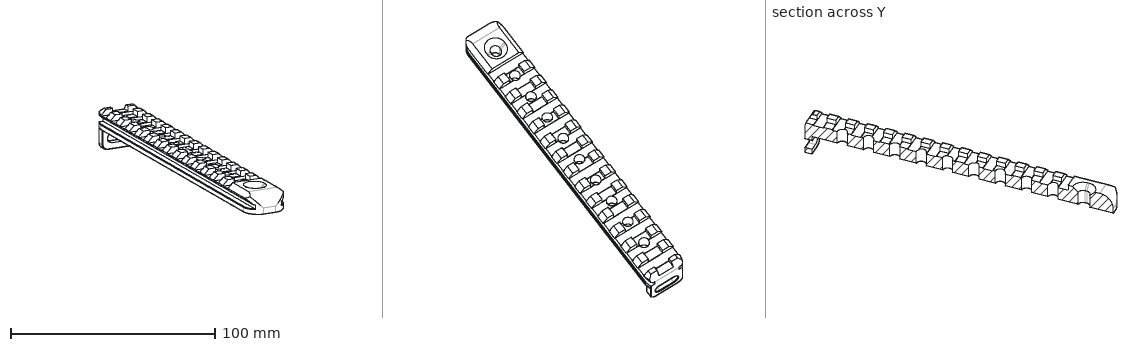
import cadquery as cq
import math

length = 164.0
width = 21.2
height = 21.05

rail_height = 10.3
base_thickness = 2.9
neck_width = 14.4
dovetail_height = 5.35
neck_top = rail_height - dovetail_height
top_width = 15.9
dovetail_slope = (width - top_width) / 2
base_edge_chamfer = 0.35

slot_count = 14
slot_pitch = 10.01
slot_width = 5.23
slot_depth = 3.0
first_slot_start = 4.7
channel_width = 8.5
channel_depth = 2.6

hole_count = 9
hole_pitch = 14.0
first_hole_x = 19.9
hole_diameter = 5.2
screw_x = 148.4
screw_slot_travel = 1.0
screw_diameter = 5.1
screw_head_diameter = 10.8
countersink_taper = 45.0

far_corner_radius = 7.2
far_nose_radius = 7.1
near_nose_radius = 7.25

leg_thickness = 4.0
leg_width = 19.2
leg_drop = height - rail_height
leg_corner_radius = 3.0
leg_back_chamfer = 0.4
leg_front_chamfer = 0.35
leg_slot_length = 13.3
leg_slot_height = 5.1
leg_slot_depth_below_top = 15.25
leg_slot_z = rail_height - leg_slot_depth_below_top


def dovetail_bar():
    """Neck and dovetail section extruded over the full length."""
    tip_z = rail_height - dovetail_slope
    under_half = width / 2 - (tip_z - neck_top)
    section = [
        (neck_width / 2, 0),
        (neck_width / 2, neck_top),
        (under_half, neck_top),
        (width / 2, tip_z),
        (top_width / 2, rail_height),
    ]
    mirrored = [(-y, z) for y, z in reversed(section)]
    return cq.Workplane("YZ").polyline(section + mirrored).close().extrude(length)


def plan_prism(prism_height):
    """Plan outline: tapered near corners with a broken edge, rounded far corners."""
    half_width = width / 2
    near_half = leg_width / 2
    side = [
        (0, near_half - leg_front_chamfer),
        (leg_front_chamfer, near_half),
        (leg_thickness, half_width),
        (length, half_width),
    ]
    mirrored = [(x, -y) for x, y in reversed(side)]
    prism = cq.Workplane("XY").polyline(side + mirrored).close().extrude(prism_height)
    return prism.edges("|Z and >X").fillet(far_corner_radius)


def base_plate():
    """Full-width base with chamfered edges along the sides and round the far end."""
    plate = plan_prism(base_thickness)
    beyond_leg = cq.selectors.BoxSelector(
        (leg_thickness, -width, -base_thickness), (length + width, width, 2 * base_thickness)
    )
    return plate.faces("|Z").edges(beyond_leg).chamfer(base_edge_chamfer)


def side_envelope():
    """Side outline: convex noses at both ends of the top."""
    near_rise = rail_height - neck_top
    near_run = near_nose_radius - math.sqrt(near_nose_radius**2 - near_rise**2)
    half_rise = near_rise / 2
    half_run = near_nose_radius - math.sqrt(near_nose_radius**2 - half_rise**2)
    far_x = length - far_nose_radius
    far_z = rail_height - far_nose_radius
    far_offset = far_nose_radius * math.sqrt(0.5)
    return (
        cq.Workplane("XZ")
        .moveTo(0, 0)
        .lineTo(0, neck_top)
        .threePointArc((half_run, neck_top + half_rise), (near_run, rail_height))
        .lineTo(far_x, rail_height)
        .threePointArc((far_x + far_offset, far_z + far_offset), (length, far_z))
        .lineTo(length, 0)
        .close()
        .extrude(width / 2, both=True)
    )


def cut_teeth(body):
    """Cross slots that leave the teeth, and the channel along the middle."""
    for index in range(slot_count):
        start = first_slot_start + index * slot_pitch
        slot = cq.Workplane("XY").box(slot_width, width, slot_depth, centered=(False, True, False))
        body = body.cut(slot.translate((start, 0, rail_height - slot_depth)))
    channel_length = first_slot_start + (slot_count - 1) * slot_pitch + slot_width
    channel = cq.Workplane("XY").box(
        channel_length, channel_width, channel_depth, centered=(False, True, False)
    )
    return body.cut(channel.translate((0, 0, rail_height - channel_depth)))


def cut_holes(body):
    """Row of plain round holes along the rail."""
    centers = [(first_hole_x + index * hole_pitch, 0) for index in range(hole_count)]
    holes = cq.Workplane("XY").pushPoints(centers).circle(hole_diameter / 2).extrude(rail_height)
    return body.cut(holes)


def cut_screw_slot(body):
    """Short countersunk slot for the clamping screw in the far block."""
    flare = (screw_head_diameter - screw_diameter) / 2
    countersink_depth = flare / math.tan(math.radians(countersink_taper))
    through = (
        cq.Workplane("XY")
        .center(screw_x, 0)
        .slot2D(screw_slot_travel + screw_diameter, screw_diameter)
        .extrude(rail_height)
    )
    countersink = (
        cq.Workplane("XY", origin=(screw_x, 0, rail_height))
        .slot2D(screw_slot_travel + screw_head_diameter, screw_head_diameter)
        .extrude(-countersink_depth, taper=countersink_taper)
    )
    return body.cut(through).cut(countersink)


def leg():
    """Rounded plate hanging from the near end, with an obround slot."""
    plate = (
        cq.Workplane("XY")
        .box(leg_thickness, leg_width, leg_drop + base_thickness, centered=(False, True, False))
        .translate((0, 0, -leg_drop))
        .edges("|X and <Z")
        .fillet(leg_corner_radius)
    )
    plate = plate.faces(">X").edges("not >Z").chamfer(leg_back_chamfer)
    slot = (
        cq.Workplane("YZ")
        .center(0, leg_slot_z)
        .slot2D(leg_slot_length, leg_slot_height)
        .extrude(leg_thickness)
    )
    return plate.cut(slot).faces("<X").edges("not >Z").chamfer(leg_front_chamfer)


rail = dovetail_bar().intersect(plan_prism(rail_height)).union(base_plate()).intersect(side_envelope())
result = cut_screw_slot(cut_holes(cut_teeth(rail))).union(leg())